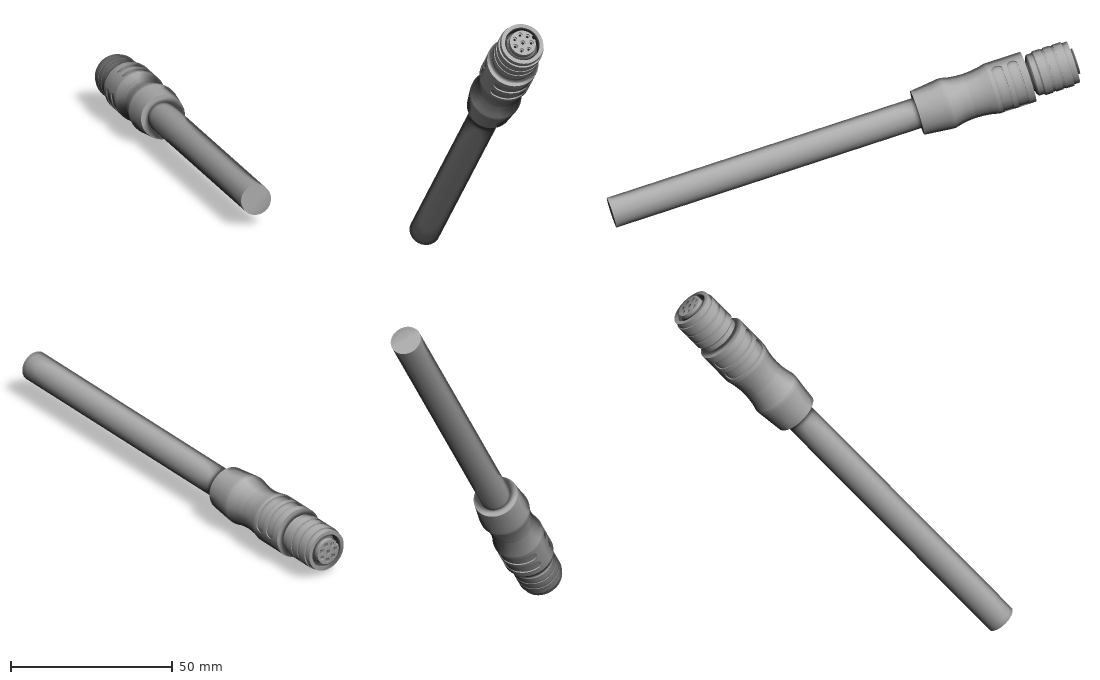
import cadquery as cq
import math

overall_length = 151.9
cable_radius = 4.9

insert_radius = 4.1
insert_root_radius = 4.7
insert_bevel_start = 2.0
insert_bevel_end = 2.6
contact_mouth_radius = 0.8
contact_mouth_depth = 0.5
contact_bore_radius = 0.38
contact_pitch_radius = 2.7
contact_depth = 3.0
outer_contacts = 7
contact_step = 360 / outer_contacts
key_angle = 31.0
key_width = 1.2
key_depth = 0.6

nut_front = 0.9
nut_shoulder = 2.9
nut_chamfer_start = 12.2
nut_chamfer_end = 12.6
nut_collar_end = 14.3
nut_rear = 14.9
nut_radius = 7.1
nut_collar_radius = 6.7
nut_rear_radius = 5.8
socket_radius = 5.5
socket_floor = 4.5
groove_width = 0.9
groove_depth = 0.23
groove_starts = (5.6, 8.8)

neck_radius = 4.9
body_front = 15.6
body_radius = 8.13
grip_end = 27.6
waist_x = 35.0
hollow_end = 42.0
band_end = 42.8
body_rear = 52.0
waist_radius = 7.1
body_rear_radius = 7.1

slot_width = 3.5
slot_depth = 0.38
slot_centers = (19.6, 24.6)
slot_gap_angle = 42.0
gap_center_angle = 151.0


def spot(radius, angle):
    """Y and Z of a point at an angle measured from +Y toward +Z."""
    return radius * math.cos(math.radians(angle)), radius * math.sin(math.radians(angle))


def ring(start, width, inner_radius, outer_radius, sweep=360):
    """Ring around X; a partial sweep starts at +Y and turns toward +Z."""
    section = cq.Workplane("XY").moveTo(start, inner_radius).lineTo(start, outer_radius)
    section = section.lineTo(start + width, outer_radius).lineTo(start + width, inner_radius).close()
    return section.revolve(sweep, (0, 0, 0), (1, 0, 0))


def hollow_midpoint(edge_x):
    """Point halfway along X on the arc that levels out at the waist and ends at edge_x."""
    length = edge_x - waist_x
    rise = body_radius - waist_radius
    arc_radius = (length**2 + rise**2) / (2 * rise)
    mid_rise = arc_radius - math.sqrt(arc_radius**2 - (length / 2) ** 2)
    return waist_x + length / 2, waist_radius + mid_rise


def turned_body():
    """Insert, nut, grip and cable as one revolved outline."""
    outline = (
        cq.Workplane("XY")
        .lineTo(0, insert_radius)
        .lineTo(insert_bevel_start, insert_radius)
        .lineTo(insert_bevel_end, insert_root_radius)
        .lineTo(socket_floor, insert_root_radius)
        .lineTo(socket_floor, socket_radius)
        .lineTo(nut_front, socket_radius)
        .lineTo(nut_front, nut_collar_radius)
        .lineTo(nut_shoulder, nut_collar_radius)
        .lineTo(nut_shoulder, nut_radius)
        .lineTo(nut_chamfer_start, nut_radius)
        .lineTo(nut_chamfer_end, nut_collar_radius)
        .lineTo(nut_collar_end, nut_collar_radius)
        .lineTo(nut_rear, nut_rear_radius)
        .lineTo(nut_rear, neck_radius)
        .lineTo(body_front, neck_radius)
        .lineTo(body_front, body_radius)
        .lineTo(grip_end, body_radius)
        .threePointArc(hollow_midpoint(grip_end), (waist_x, waist_radius))
        .threePointArc(hollow_midpoint(hollow_end), (hollow_end, body_radius))
        .lineTo(band_end, body_radius)
        .lineTo(body_rear, body_rear_radius)
        .lineTo(body_rear, cable_radius)
        .lineTo(overall_length, cable_radius)
        .lineTo(overall_length, 0)
        .close()
    )
    return outline.revolve(360, (0, 0, 0), (1, 0, 0))


def contact_holes():
    """One central stepped contact hole and a circle of holes straddling the key."""
    first_angle = 180 - key_angle + contact_step / 2
    points = [(0, 0)]
    for index in range(outer_contacts):
        points.append(spot(contact_pitch_radius, first_angle + index * contact_step))
    face = cq.Workplane("YZ").pushPoints(points)
    mouths = face.circle(contact_mouth_radius).extrude(contact_mouth_depth)
    return mouths.union(face.circle(contact_bore_radius).extrude(contact_depth))


def key_notch():
    """Coding groove along the flank of the insert."""
    notch_floor = insert_radius - key_depth
    radial_size = insert_root_radius - notch_floor
    block = cq.Workplane("XY").box(socket_floor, radial_size, key_width, centered=(False, False, True))
    block = block.translate((0, notch_floor, 0))
    return block.rotate((0, 0, 0), (1, 0, 0), 180 - key_angle)


def finger_slot(center_x):
    """Shallow band around part of the grip with fully rounded ends."""
    end_radius = slot_width / 2
    floor_radius = body_radius - slot_depth
    cutter_radius = body_radius + slot_depth
    end_angle = math.degrees(math.asin(end_radius / body_radius))
    sweep = 180 - slot_gap_angle - 2 * end_angle
    slot = ring(center_x - end_radius, slot_width, floor_radius, cutter_radius, sweep)
    shell = ring(center_x - slot_width, 2 * slot_width, floor_radius, cutter_radius)
    round_end = cq.Workplane("XZ").center(center_x, 0).circle(end_radius).extrude(-2 * body_radius)
    round_end = round_end.intersect(shell)
    for angle in (0, sweep):
        slot = slot.union(round_end.rotate((0, 0, 0), (1, 0, 0), angle))
    start_angle = gap_center_angle + slot_gap_angle / 2 + end_angle
    return slot.rotate((0, 0, 0), (1, 0, 0), start_angle)


result = turned_body().cut(contact_holes()).cut(key_notch())

for groove_start in groove_starts:
    result = result.cut(ring(groove_start, groove_width, nut_radius - groove_depth, nut_radius + groove_depth))

for slot_center in slot_centers:
    lower_slot = finger_slot(slot_center)
    result = result.cut(lower_slot)
    result = result.cut(lower_slot.rotate((0, 0, 0), (1, 0, 0), 180))